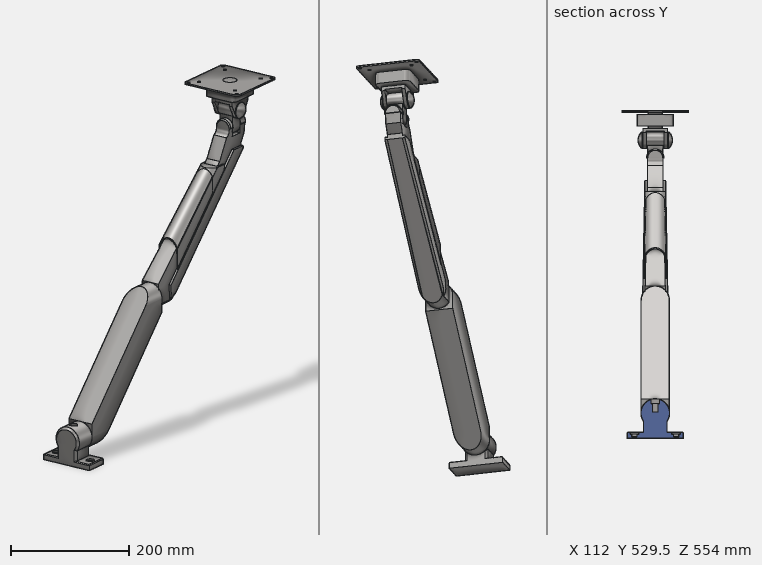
import cadquery as cq
import math

TRIM = 277.0

BASE_WIDTH = 95.0
BASE_DEPTH = 40.5
FLANGE_THICKNESS = 10.5
FLANGE_CHAMFER = 1.5
SHOULDER_Z = 42.5
SHOULDER_DIA = 49.0
PEDESTAL_WIDTH = 40.0
HOUSING_CHAMFER = 4.0
SCREW_SPACING = 70.5
SCREW_DIA = 8.5
SCREW_HEAD_DIA = 14.0
SCREW_HEAD_DEPTH = 3.5
SCREW_DEPTH = 8.0
LOCK_SCREW_DIA = 9.0
LOCK_SCREW_DEPTH = 22.0
LOCK_HEAD_DEPTH = 8.5

LOWER_ARM_WIDTH = 48.0
ELBOW_Y = 243.0
ELBOW_Z = 233.0
LOWER_ARM_TOP_Y = 217.5
LOWER_ARM_BOTTOM_Y = 67.0

CHANNEL_WIDTH_LOW = 43.0
CHANNEL_WIDTH_HIGH = 35.5
CHANNEL_TOP_Z = 436.0
CHANNEL_HIGH_Y = 487.5
CHANNEL_HIGH_BOTTOM_Z = 431.5
LINK_WIDTH_LOW = 35.5
LINK_WIDTH_HIGH = 26.5
LINK_CREST_Y = 425.5
LINK_CREST_Z = 424.0
COVER_INSET = 1.0
COVER_LOW_Y = 295.0
COVER_CREST_LOW_Z = 322.5
COVER_CREST_HIGH_Y = 401.0
COVER_TOP_Z = 417.5
COVER_HIGH_Y = 434.0
COVER_WALL = 1.5
COVER_CROWN_RADIUS = 21.0
HEAD_BASE_Z = 474.0
CAP_DIA = 30.0
CAP_FRONT_Y = 453.0
CAP_BACK_Y = 500.5
CAP_CHAMFER = 2.0
CAP_SKIRT = 1.5

HEAD_Y = 473.5
TONGUE_WIDTH = 26.0
TONGUE_THICKNESS = 22.0
TONGUE_BOTTOM_Z = 458.5
TILT_Z = 504.0
TILT_DIA = 29.0
BARREL_LENGTH = 30.0
CHEEK_THICKNESS = 6.0
YOKE_TOP_Z = 524.0
YOKE_BRIDGE_THICKNESS = 5.0
YOKE_DEPTH = 45.5
YOKE_RIM = 7.0
DOME_DIA = 28.0
DOME_RIM = 1.5
DOME_HEIGHT = 6.5

SPINDLE_DIA = 24.0
SWIVEL_SIZE = 61.5
SWIVEL_RADIUS = 8.5
SWIVEL_BOTTOM_Z = 528.0
SWIVEL_TOP_Z = 548.0
PLATE_SIZE = 112.0
PLATE_THICKNESS = 3.0
PLATE_TOP_Z = 554.0
PLATE_CORNER_RADIUS = 5.0
PLATE_HOLE_DIA = 5.3
PLATE_HOLE_SPACINGS = (75.0, 100.0)


def side_prism(points, width):
    """Prism with a (Y, Z) outline, centred on the mid plane."""
    return cq.Workplane("YZ").polyline(points).close().extrude(width / 2, both=True)


def cylinder_along_y(diameter, z, y_front, y_back):
    return (
        cq.Workplane("XZ", origin=(0, y_front, 0))
        .center(0, z)
        .circle(diameter / 2)
        .extrude(y_front - y_back)
    )


def make_base():
    flange = (
        cq.Workplane("XY")
        .box(BASE_WIDTH, BASE_DEPTH, FLANGE_THICKNESS, centered=(True, False, False))
        .faces(">Z")
        .edges("<X or >X or <Y")
        .chamfer(FLANGE_CHAMFER)
    )
    radius = SHOULDER_DIA / 2
    half_pedestal = PEDESTAL_WIDTH / 2
    barrel_end_z = SHOULDER_Z - math.sqrt(radius**2 - half_pedestal**2)
    housing = (
        cq.Workplane("XZ")
        .moveTo(-half_pedestal, 0)
        .lineTo(-half_pedestal, barrel_end_z)
        .threePointArc((0, SHOULDER_Z + radius), (half_pedestal, barrel_end_z))
        .lineTo(half_pedestal, 0)
        .close()
        .extrude(-BASE_DEPTH)
        .faces("<Y")
        .edges("not <Z")
        .chamfer(HOUSING_CHAMFER)
        .faces(">Y")
        .edges("|Z")
        .chamfer(HOUSING_CHAMFER)
    )
    middle_y = BASE_DEPTH / 2
    mounting_points = [(side * SCREW_SPACING / 2, middle_y) for side in (-1, 1)]
    return (
        flange.union(housing)
        .copyWorkplane(cq.Workplane("XY", origin=(0, 0, FLANGE_THICKNESS)))
        .pushPoints(mounting_points)
        .cboreHole(SCREW_DIA, SCREW_HEAD_DIA, SCREW_HEAD_DEPTH, SCREW_DEPTH)
        .copyWorkplane(cq.Workplane("XY", origin=(0, 0, SHOULDER_Z + radius)))
        .pushPoints([(0, middle_y)])
        .cboreHole(LOCK_SCREW_DIA, SCREW_HEAD_DIA, LOCK_HEAD_DEPTH, LOCK_SCREW_DEPTH)
    )


def make_lower_arm():
    radius = LOWER_ARM_WIDTH / 2
    side = side_prism(
        [
            (BASE_DEPTH, SHOULDER_Z - radius),
            (LOWER_ARM_BOTTOM_Y, SHOULDER_Z - radius),
            (ELBOW_Y, ELBOW_Z - radius),
            (ELBOW_Y, ELBOW_Z + radius),
            (LOWER_ARM_TOP_Y, ELBOW_Z + radius),
            (BASE_DEPTH, SHOULDER_Z + radius),
        ],
        LOWER_ARM_WIDTH,
    )
    front = (
        cq.Workplane("XZ")
        .center(0, (SHOULDER_Z + ELBOW_Z) / 2)
        .slot2D(ELBOW_Z - SHOULDER_Z + LOWER_ARM_WIDTH, LOWER_ARM_WIDTH, 90)
        .extrude(-TRIM)
    )
    return side.intersect(front)


def tapered_front(width_low, width_high, z_high):
    """Arm outline seen along Y: round below the elbow axis, narrowing upwards, then straight."""
    low = width_low / 2
    high = width_high / 2
    elbow_radius = CHANNEL_WIDTH_LOW / 2
    round_z = ELBOW_Z - math.sqrt(elbow_radius**2 - low**2)
    return (
        cq.Workplane("XZ")
        .moveTo(low, round_z)
        .lineTo(high, z_high)
        .lineTo(high, PLATE_TOP_Z)
        .lineTo(-high, PLATE_TOP_Z)
        .lineTo(-high, z_high)
        .lineTo(-low, round_z)
        .threePointArc((0, ELBOW_Z - elbow_radius), (low, round_z))
        .close()
        .extrude(-2 * TRIM)
    )


def make_channel():
    side = side_prism(
        [
            (273.5, 217.5),
            (273.5, 248.0),
            (461.0, CHANNEL_TOP_Z),
            (CHANNEL_HIGH_Y, CHANNEL_TOP_Z),
            (CHANNEL_HIGH_Y, CHANNEL_HIGH_BOTTOM_Z),
        ],
        CHANNEL_WIDTH_LOW,
    )
    return side.intersect(tapered_front(CHANNEL_WIDTH_LOW, CHANNEL_WIDTH_HIGH, CHANNEL_TOP_Z))


def make_link():
    """Inner beam from the elbow up to the bent head."""
    elbow_bottom_z = ELBOW_Z - CHANNEL_WIDTH_LOW / 2
    side = (
        cq.Workplane("YZ")
        .moveTo(ELBOW_Y, elbow_bottom_z)
        .lineTo(272.0, elbow_bottom_z)
        .lineTo(CHANNEL_HIGH_Y, CHANNEL_HIGH_BOTTOM_Z)
        .lineTo(CHANNEL_HIGH_Y, 440.5)
        .lineTo(496.0, 456.5)
        .lineTo(498.5, HEAD_BASE_Z)
        .lineTo(CAP_FRONT_Y, HEAD_BASE_Z)
        .lineTo(CAP_FRONT_Y, HEAD_BASE_Z - CAP_SKIRT)
        .tangentArcPoint((445.5, 461.0), relative=False)
        .lineTo(LINK_CREST_Y, LINK_CREST_Z)
        .lineTo(ELBOW_Y, 257.5)
        .close()
        .extrude(LINK_WIDTH_LOW / 2, both=True)
    )
    return side.intersect(tapered_front(LINK_WIDTH_LOW, LINK_WIDTH_HIGH, LINK_CREST_Z))


def cover_block(inset):
    """Crowned block on the upper side of the beam, its sides and crown moved inwards by the inset."""
    side = side_prism(
        [
            (COVER_LOW_Y, 268.5),
            (COVER_LOW_Y, COVER_CREST_LOW_Z),
            (COVER_CREST_HIGH_Y, COVER_TOP_Z),
            (COVER_HIGH_Y, COVER_TOP_Z),
            (COVER_HIGH_Y, 407.5),
        ],
        CHANNEL_WIDTH_LOW,
    )
    side_step = 2 * (COVER_INSET + inset)
    front = tapered_front(CHANNEL_WIDTH_LOW - side_step, CHANNEL_WIDTH_HIGH - side_step, CHANNEL_TOP_Z)
    run = COVER_CREST_HIGH_Y - COVER_LOW_Y
    rise = COVER_TOP_Z - COVER_CREST_LOW_Z
    along_crest = cq.Plane(
        origin=(0, COVER_LOW_Y, COVER_CREST_LOW_Z), xDir=(-1, 0, 0), normal=(0, run, rise)
    )
    radius = COVER_CROWN_RADIUS - inset
    crown = (
        cq.Workplane(along_crest)
        .moveTo(-radius, -COVER_CROWN_RADIUS)
        .threePointArc((0, -inset), (radius, -COVER_CROWN_RADIUS))
        .lineTo(radius, -TRIM)
        .lineTo(-radius, -TRIM)
        .close()
        .extrude(TRIM, both=True)
    )
    return side.intersect(front).intersect(crown)


def make_cover():
    """Thin crowned shell, open towards the elbow and closed where its top is flat."""
    closed_end = (
        cq.Workplane("XZ", origin=(0, COVER_CREST_HIGH_Y, 0))
        .rect(2 * TRIM, 4 * TRIM)
        .extrude(-TRIM)
    )
    return cover_block(0).cut(cover_block(COVER_WALL).cut(closed_end))


def make_upper_arm():
    cap = cylinder_along_y(CAP_DIA, HEAD_BASE_Z, CAP_FRONT_Y, CAP_BACK_Y)
    cap = cap.faces("<Y or >Y").chamfer(CAP_CHAMFER)
    below_cap = cq.Workplane("XY", origin=(0, 0, HEAD_BASE_Z)).rect(TRIM, 4 * TRIM).extrude(-TRIM)
    tongue_slot = (
        cq.Workplane("XY", origin=(0, HEAD_Y, TONGUE_BOTTOM_Z))
        .rect(TRIM, TONGUE_THICKNESS)
        .extrude(TILT_Z - TONGUE_BOTTOM_Z)
    )
    return (
        make_link()
        .union(make_channel())
        .union(make_cover())
        .union(cap.cut(below_cap))
        .cut(tongue_slot)
    )


def make_knuckle():
    """Tilt barrel on a tongue with a round lower end."""
    barrel = (
        cq.Workplane("YZ")
        .center(HEAD_Y, TILT_Z)
        .circle(TILT_DIA / 2)
        .extrude(BARREL_LENGTH / 2, both=True)
    )
    half_width = TONGUE_WIDTH / 2
    round_z = TONGUE_BOTTOM_Z + half_width
    tongue = (
        cq.Workplane("XZ", origin=(0, HEAD_Y, 0))
        .moveTo(half_width, TILT_Z)
        .lineTo(half_width, round_z)
        .threePointArc((0, TONGUE_BOTTOM_Z), (-half_width, round_z))
        .lineTo(-half_width, TILT_Z)
        .close()
        .extrude(TONGUE_THICKNESS / 2, both=True)
    )
    return barrel.union(tongue)


def make_dome():
    """Domed pivot cap, turned about the tilt axis, on the +X cheek."""
    radius = DOME_DIA / 2
    start = BARREL_LENGTH / 2 + CHEEK_THICKNESS
    rim = start + DOME_RIM
    apex = rim + DOME_HEIGHT
    sphere_radius = (radius**2 + DOME_HEIGHT**2) / (2 * DOME_HEIGHT)
    mid_r = radius / 2
    mid_x = apex - sphere_radius + math.sqrt(sphere_radius**2 - mid_r**2)
    return (
        cq.Workplane("XY", origin=(0, HEAD_Y, TILT_Z))
        .moveTo(start, 0)
        .lineTo(start, radius)
        .lineTo(rim, radius)
        .threePointArc((mid_x, mid_r), (apex, 0))
        .close()
        .revolve(360, (0, 0, 0), (1, 0, 0))
    )


def make_yoke():
    radius = TILT_DIA / 2
    half_depth = YOKE_DEPTH / 2
    corner_height = YOKE_TOP_Z - YOKE_RIM - TILT_Z
    corner_distance = math.hypot(half_depth, corner_height)
    angle = math.atan2(corner_height, half_depth) - math.acos(radius / corner_distance)
    tangent_y = radius * math.cos(angle)
    tangent_z = TILT_Z + radius * math.sin(angle)
    width = BARREL_LENGTH + 2 * CHEEK_THICKNESS
    block = (
        cq.Workplane("YZ")
        .moveTo(HEAD_Y - half_depth, YOKE_TOP_Z)
        .lineTo(HEAD_Y - half_depth, YOKE_TOP_Z - YOKE_RIM)
        .lineTo(HEAD_Y - tangent_y, tangent_z)
        .threePointArc((HEAD_Y, TILT_Z - radius), (HEAD_Y + tangent_y, tangent_z))
        .lineTo(HEAD_Y + half_depth, YOKE_TOP_Z - YOKE_RIM)
        .lineTo(HEAD_Y + half_depth, YOKE_TOP_Z)
        .close()
        .extrude(width / 2, both=True)
    )
    barrel_gap = (
        cq.Workplane("XY", origin=(0, HEAD_Y, YOKE_TOP_Z - YOKE_BRIDGE_THICKNESS))
        .rect(BARREL_LENGTH, 2 * YOKE_DEPTH)
        .extrude(-YOKE_DEPTH)
    )
    dome = make_dome()
    return block.cut(barrel_gap).union(dome).union(dome.mirror("YZ"))


def make_swivel():
    housing = (
        cq.Workplane("XY", origin=(0, HEAD_Y, SWIVEL_BOTTOM_Z))
        .rect(SWIVEL_SIZE, SWIVEL_SIZE)
        .extrude(SWIVEL_TOP_Z - SWIVEL_BOTTOM_Z)
        .edges("|Z")
        .fillet(SWIVEL_RADIUS)
    )
    spindle = (
        cq.Workplane("XY", origin=(0, HEAD_Y, YOKE_TOP_Z))
        .circle(SPINDLE_DIA / 2)
        .extrude(PLATE_TOP_Z - YOKE_TOP_Z)
    )
    return housing.union(spindle)


def make_plate():
    plate = (
        cq.Workplane("XY", origin=(0, HEAD_Y, PLATE_TOP_Z - PLATE_THICKNESS))
        .rect(PLATE_SIZE, PLATE_SIZE)
        .extrude(PLATE_THICKNESS)
        .edges("|Z")
        .fillet(PLATE_CORNER_RADIUS)
        .faces(">Z")
        .workplane(origin=(0, HEAD_Y, PLATE_TOP_Z))
        .hole(SPINDLE_DIA)
    )
    for spacing in PLATE_HOLE_SPACINGS:
        plate = (
            plate.copyWorkplane(cq.Workplane("XY", origin=(0, HEAD_Y, PLATE_TOP_Z)))
            .rect(spacing, spacing, forConstruction=True)
            .vertices()
            .hole(PLATE_HOLE_DIA)
        )
    return plate


base = make_base()
lower_arm = make_lower_arm()
upper_arm = make_upper_arm()
knuckle = make_knuckle()
yoke = make_yoke()
swivel = make_swivel()
plate = make_plate()

result = cq.Compound.makeCompound(
    [body.solids().val() for body in (base, lower_arm, upper_arm, knuckle, yoke, swivel, plate)]
)